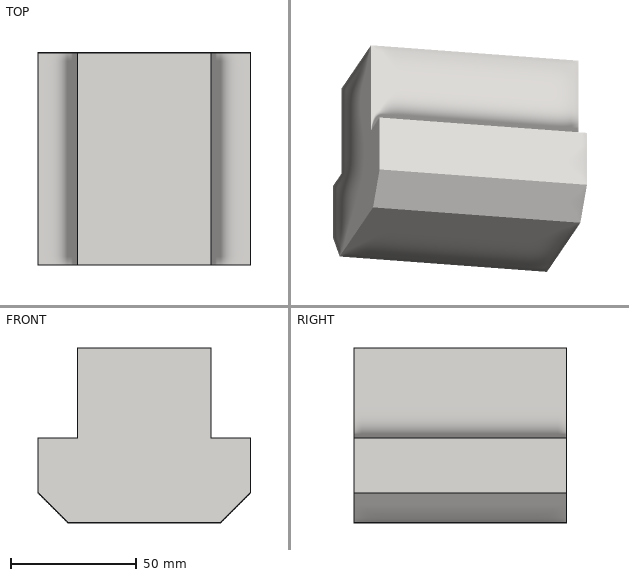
import cadquery as cq

length = 85.0
flange_width = 85.0
total_height = 70.0
stem_width = 53.4
flange_height = 34.0
chamfer = 12.0


def centred_bar(width, height):
    """Rectangular bar of full length, standing on Z = 0."""
    return cq.Workplane("XY").box(width, length, height, centered=(True, True, False))


flange = centred_bar(flange_width, flange_height).faces("<Z").edges("|Y").chamfer(chamfer)
stem = centred_bar(stem_width, total_height)

result = flange.union(stem)